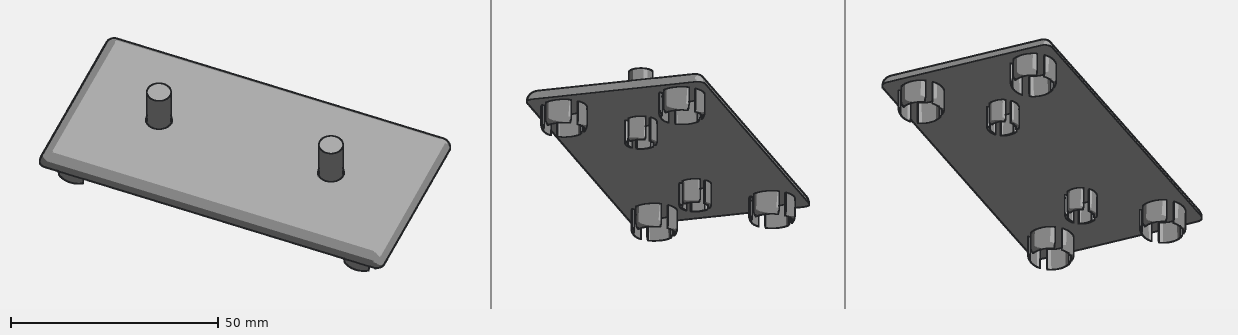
import cadquery as cq

plate_length = 90.0
plate_width = 45.0
plate_thickness = 3.1
edge_lip = 0.01
edge_round = plate_thickness - edge_lip
corner_round = 2.0

pin_spacing = 45.0
pin_diameter = 5.85
pin_height = 9.7
groove_diameter = 6.3
groove_depth = 1.0

clip_height = 5.8
corner_clip_inset = 7.65
corner_clip_outer_diameter = 11.2
corner_clip_bore = 10.0
corner_clip_taper = 1.4
corner_clip_slot = 1.9
pin_clip_outer_diameter = 7.8
pin_clip_bore = 6.3
pin_clip_round = 0.6
pin_clip_slot = 1.4

pin_points = [(-pin_spacing / 2, 0), (pin_spacing / 2, 0)]
corner_clip_x = plate_length / 2 - corner_clip_inset
corner_clip_y = plate_width / 2 - corner_clip_inset
corner_points = [(sx * corner_clip_x, sy * corner_clip_y) for sx in (-1, 1) for sy in (-1, 1)]


def make_plate():
    """Rectangular plate with rounded top edges, then softened corner edges where the rounds meet."""
    plate = cq.Workplane("XY").box(
        plate_length, plate_width, plate_thickness, centered=(True, True, False)
    )
    plate = plate.faces(">Z").edges().fillet(edge_round)
    corner_edges = plate.edges().filter(is_corner_edge)
    return plate.newObject(corner_edges.vals()).fillet(corner_round)


def is_corner_edge(edge):
    """True for the edges that run down the four plate corners."""
    center = edge.Center()
    near_end = abs(center.x) > plate_length / 2 - edge_round
    near_side = abs(center.y) > plate_width / 2 - edge_round
    return near_end and near_side


def split_in_four(ring, slot_length, slot_width):
    """Cut a ring below Z = 0 by two crossing diagonal slots."""
    slot = cq.Workplane("XY").rect(slot_length, slot_width).extrude(-clip_height)
    for angle in (45, 135):
        ring = ring.cut(slot.rotate((0, 0, 0), (0, 0, 1), angle))
    return ring


def make_corner_clip():
    """Split ring whose outer wall curves inward until it meets the bore at the free end."""
    outer_radius = corner_clip_outer_diameter / 2
    bore_radius = corner_clip_bore / 2
    ring = (
        cq.Workplane("XZ")
        .moveTo(bore_radius, 0)
        .lineTo(outer_radius, 0)
        .lineTo(outer_radius, corner_clip_taper - clip_height)
        .tangentArcPoint((bore_radius, -clip_height), relative=False)
        .close()
        .revolve(360, (0, 0, 0), (0, 1, 0))
    )
    return split_in_four(ring, 2 * outer_radius + corner_clip_slot, corner_clip_slot)


def make_pin_clip():
    """Split ring with a small round on the outer edge of its free end."""
    ring = cq.Workplane("XY").circle(pin_clip_outer_diameter / 2).extrude(-clip_height)
    ring = ring.faces("<Z").edges().fillet(pin_clip_round)
    ring = ring.cut(cq.Workplane("XY").circle(pin_clip_bore / 2).extrude(-clip_height))
    return split_in_four(ring, pin_clip_outer_diameter + pin_clip_slot, pin_clip_slot)


def make_pin():
    """Round pin that starts at the plate underside and stands above its top."""
    return cq.Workplane("XY").circle(pin_diameter / 2).extrude(plate_thickness + pin_height)


def make_groove():
    """Ring-shaped clearance around a pin, cut into the top of the plate."""
    return (
        cq.Workplane("XY", origin=(0, 0, plate_thickness - groove_depth))
        .circle(groove_diameter / 2)
        .circle(pin_diameter / 2)
        .extrude(groove_depth)
    )


def place(shape, point):
    """Copy of a shape moved to an (x, y) point."""
    x, y = point
    return shape.translate((x, y, 0))


result = make_plate()

pin = make_pin()
groove = make_groove()
pin_clip = make_pin_clip()
for point in pin_points:
    result = result.cut(place(groove, point))
    result = result.union(place(pin, point))
    result = result.union(place(pin_clip, point))

corner_clip = make_corner_clip()
for point in corner_points:
    result = result.union(place(corner_clip, point))